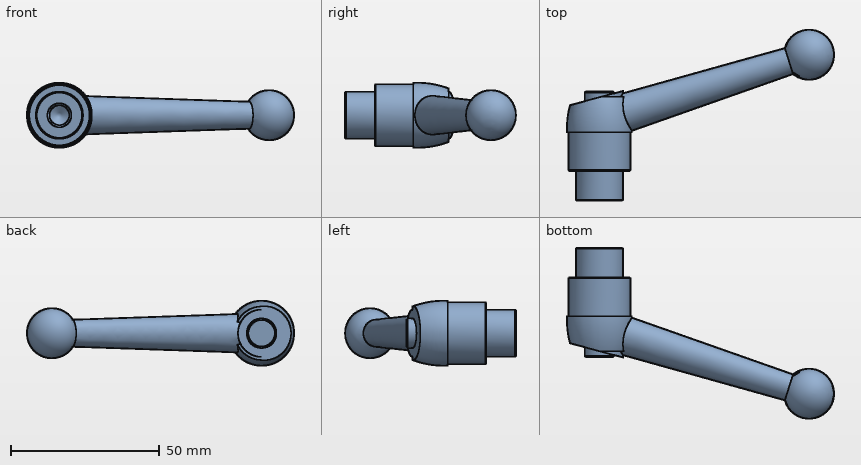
import cadquery as cq
import math


foot_diameter = 16.0
foot_length = 10.0
hub_diameter = 21.0
head_bottom = 23.1
rim_chamfer = 0.4

head_diameter = 22.0
dome_profile_radius = 29.8
dome_tangent_height = 24.4
dome_top = 35.0
crown_diameter = foot_diameter
slope_angle = 15
slope_center_height = 34.9

screw_diameter = 10.0
screw_top = 37.0
screw_chamfer = 0.5

ball_diameter = 17.0
overall_length = 90.3
overall_height = 57.8
ball_x = overall_length - head_diameter / 2 - ball_diameter / 2
ball_y = overall_height - ball_diameter / 2
arm_angle = 17.5
arm_taper = 1.9
arm_end_diameter = 8.8

bore_diameter = 6.7
bore_mouth_diameter = 8.1
bore_depth = 18.05
drill_point_angle = 118


def cylinder(diameter, start, end):
    """Cylinder on the hub axis between two heights along Y."""
    plane = cq.Workplane("XZ", origin=(0, end, 0))
    return plane.circle(diameter / 2).extrude(end - start)


def make_foot_and_hub():
    foot = cylinder(foot_diameter, 0, foot_length).faces("<Y").chamfer(rim_chamfer)
    hub = cylinder(hub_diameter, foot_length, head_bottom).faces("<Y").chamfer(rim_chamfer)
    return foot.union(hub)


def dome_radius(height):
    """Head radius at a height on the domed arc, widest at the tangent height."""
    rise = height - dome_tangent_height
    inset = dome_profile_radius - math.sqrt(dome_profile_radius**2 - rise**2)
    return head_diameter / 2 - inset


def make_head():
    crown_radius = crown_diameter / 2
    crown_top = slope_center_height + head_diameter / 2
    head = (
        cq.Workplane("XY")
        .moveTo(0, head_bottom)
        .lineTo(dome_radius(head_bottom), head_bottom)
        .threePointArc((head_diameter / 2, dome_tangent_height), (dome_radius(dome_top), dome_top))
        .lineTo(crown_radius, dome_top)
        .lineTo(crown_radius, crown_top)
        .lineTo(0, crown_top)
        .close()
        .revolve(360, (0, 0, 0), (0, 1, 0))
    )
    cutter_size = 3 * head_diameter
    above_slope = (
        cq.Workplane("XY")
        .box(cutter_size, cutter_size, cutter_size)
        .translate((0, cutter_size / 2, 0))
        .rotate((0, 0, 0), (0, 0, 1), slope_angle)
        .translate((0, slope_center_height, 0))
    )
    return head.cut(above_slope)


def make_screw():
    return cylinder(screw_diameter, head_bottom, screw_top).faces(">Y").chamfer(screw_chamfer)


def make_arm():
    """Cone from the hub axis to the ball center, with the ball on its end."""
    length = ball_x / math.cos(math.radians(arm_angle))
    end_radius = arm_end_diameter / 2
    root_radius = end_radius + length * math.tan(math.radians(arm_taper))
    direction = cq.Vector(math.cos(math.radians(arm_angle)), math.sin(math.radians(arm_angle)), 0)
    ball_center = cq.Vector(ball_x, ball_y, 0)
    root = ball_center - direction * length
    arm = cq.Workplane(cq.Solid.makeCone(root_radius, end_radius, length, root, direction))
    ball = cq.Workplane("XY").sphere(ball_diameter / 2).translate(ball_center)
    return arm.union(ball)


def make_bore():
    bore_radius = bore_diameter / 2
    mouth_radius = bore_mouth_diameter / 2
    point_length = bore_radius / math.tan(math.radians(drill_point_angle / 2))
    return (
        cq.Workplane("XY")
        .polyline([
            (0, 0),
            (mouth_radius, 0),
            (bore_radius, mouth_radius - bore_radius),
            (bore_radius, bore_depth),
            (0, bore_depth + point_length),
        ])
        .close()
        .revolve(360, (0, 0, 0), (0, 1, 0))
    )


result = (
    make_foot_and_hub()
    .union(make_head())
    .union(make_arm())
    .union(make_screw())
    .cut(make_bore())
)